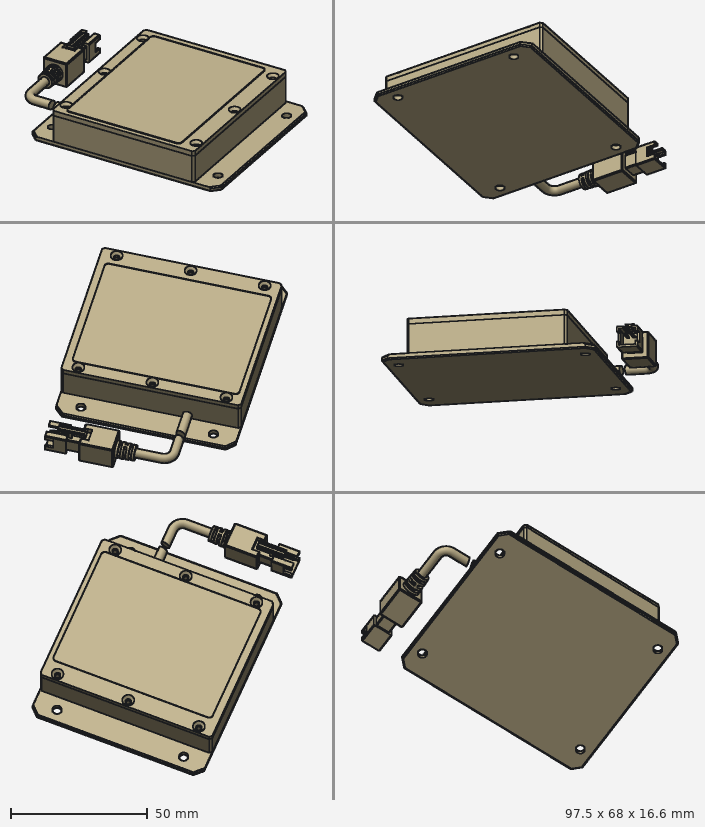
import cadquery as cq
import math

overall_length = 97.5

plate_length = 80.0
plate_width = 68.0
plate_thickness = 1.95
plate_corner = 3.0
edge_chamfer = 0.5
mount_hole_diameter = 3.4
mount_pitch_x = 70.0
mount_pitch_y = 50.1

housing_length = 60.1
housing_height = 11.0
housing_corner = 0.9

lid_thickness = 2.0
screw_pitch_x = 55.0
screw_rows_y = (-28.0, 0.0, 28.0)
screw_head_diameter = 4.4
screw_clearance_diameter = 2.1
countersink_angle = 90.0
tap_hole_diameter = 1.8
tap_hole_depth = 3.9
drill_tip_angle = 118.0

label_length = 48.3
label_width = 63.0
label_thickness = 0.34
label_corner = 1.5
label_offset_x = -1.2
label_offset_y = -0.5

cable_diameter = 3.5
cable_y = -13.9
bend_radius = 3.9
cable_cut_angle = 12.0
cable_end_x = -41.6

block_size = 10.0
block_chamfer = 0.4
block_length = 13.0
block_back_y = 7.0
pocket_width = 5.2
pocket_length = 3.1

boot_root_diameter = 6.6
boot_tip_diameter = 5.85
boot_length = 7.2
boot_segments = 7
boot_web = 1.2

neck_size = 5.85
neck_length = 5.2
neck_chamfer = 0.34

head_size = 7.9
head_length = 7.9
head_wall = 0.9
head_chamfer = 0.34
head_notch_length = 3.1
head_notch_top = 2.1
head_notch_bottom = -1.8
channel_width = 3.1

tongue_setback = 1.0
tongue_top = 1.6
tongue_thickness = 0.4
tongue_slope_length = 1.3
tongue_slope_drop = 0.2
tongue_slot = 1.6

rocker_length = 10.6
rocker_back_y = 18.3
rocker_top = 5.7
rocker_thickness = 1.1
rocker_foot_front_y = 24.8
rocker_foot_length = 1.3
rocker_hook_front_y = 27.5
rocker_hook_width = 1.95
rocker_slot_width = 0.4
rocker_slot_spacing = 1.5
rocker_bridge = 0.7

plate_top = plate_thickness
housing_top = plate_top + housing_height
lid_top = housing_top + lid_thickness
cut_reach = cable_diameter / 2 * math.tan(math.radians(cable_cut_angle))
cable_z = plate_top + cable_diameter / 2
lead_x = plate_length / 2 - overall_length + block_size / 2
block_front_y = block_back_y + block_length
head_back_y = block_front_y + neck_length
head_front_y = head_back_y + head_length
boot_end_y = block_back_y - boot_length
boot_segment_length = boot_length / boot_segments
screw_points = [(side * screw_pitch_x / 2, y) for side in (-1, 1) for y in screw_rows_y]


def lead_box(width, y_start, y_end, z_low, z_high):
    """Box centred across the lead, with heights measured from the lead axis."""
    return (
        cq.Workplane("XY")
        .box(width, y_end - y_start, z_high - z_low, centered=(True, False, False))
        .translate((lead_x, y_start, cable_z + z_low))
    )


def make_plate():
    plate = (
        cq.Workplane("XY")
        .rect(plate_length, plate_width)
        .extrude(plate_thickness)
        .edges("|Z")
        .chamfer(plate_corner)
        .faces("<Z")
        .edges()
        .chamfer(edge_chamfer)
    )
    plate = plate.faces(">Z").edges("not #Y").chamfer(edge_chamfer)
    holes = (
        cq.Workplane("XY")
        .rect(mount_pitch_x, mount_pitch_y, forConstruction=True)
        .vertices()
        .circle(mount_hole_diameter / 2)
        .extrude(plate_thickness)
    )
    return plate.cut(holes)


def housing_prism(z_low, height):
    return (
        cq.Workplane("XY", origin=(0, 0, z_low))
        .rect(housing_length, plate_width)
        .extrude(height)
        .edges("|Z")
        .chamfer(housing_corner)
    )


def make_housing():
    radius = tap_hole_diameter / 2
    tip_depth = radius / math.tan(math.radians(drill_tip_angle / 2))
    tap_hole = (
        cq.Workplane("XZ")
        .polyline([(0, 0), (radius, 0), (radius, -tap_hole_depth), (0, -tap_hole_depth - tip_depth)])
        .close()
        .revolve(360, (0, 0), (0, 1))
    )
    housing = housing_prism(plate_top, housing_height)
    for x, y in screw_points:
        housing = housing.cut(tap_hole.translate((x, y, housing_top)))
    return housing


def make_lid():
    return (
        housing_prism(housing_top, lid_thickness)
        .faces(">Z")
        .workplane(origin=(0, 0, lid_top))
        .pushPoints(screw_points)
        .cskHole(screw_clearance_diameter, screw_head_diameter, countersink_angle)
    )


def make_label():
    return (
        cq.Workplane("XY", origin=(label_offset_x, label_offset_y, lid_top))
        .rect(label_length, label_width)
        .extrude(label_thickness)
        .edges("|Z")
        .fillet(label_corner)
    )


def cable_rod(x_start, x_end):
    return (
        cq.Workplane("YZ", origin=(x_start, cable_y, cable_z))
        .circle(cable_diameter / 2)
        .extrude(x_end - x_start)
    )


def beyond_cut(x_cut):
    """Block that covers everything on the +X side of the slanted break."""
    return (
        cq.Workplane("XY")
        .box(plate_length, plate_width, plate_width, centered=(False, True, True))
        .rotate((0, 0, 0), (0, 0, 1), -cable_cut_angle)
        .translate((x_cut, cable_y, cable_z))
    )


def make_cable_stub():
    rod = cable_rod(-plate_length / 2, -housing_length / 2)
    return rod.intersect(beyond_cut(-plate_length / 2 + cut_reach))


def make_bent_cable():
    path = (
        cq.Workplane("XY", origin=(0, 0, cable_z))
        .moveTo(lead_x, boot_end_y)
        .lineTo(lead_x, cable_y + bend_radius)
        .radiusArc((lead_x + bend_radius, cable_y), -bend_radius)
        .lineTo(cable_end_x + cut_reach, cable_y)
    )
    cable = (
        cq.Workplane("XZ", origin=(lead_x, boot_end_y, cable_z))
        .circle(cable_diameter / 2)
        .sweep(path)
    )
    return cable.cut(beyond_cut(cable_end_x))


def make_boot():
    """Tapered strain relief whose slots leave the core and alternating pairs of webs."""
    root_radius = boot_root_diameter / 2
    tip_radius = boot_tip_diameter / 2
    boot = (
        cq.Workplane("XY")
        .polyline([(0, 0), (root_radius, 0), (tip_radius, -boot_length), (0, -boot_length)])
        .close()
        .revolve(360, (0, 0), (0, 1))
    )
    for index in range(1, boot_segments, 2):
        slot_y = -(index + 0.5) * boot_segment_length
        slot = cq.Workplane("XY").box(boot_root_diameter, boot_segment_length, boot_root_diameter)
        core = (
            cq.Workplane("XZ")
            .circle(cable_diameter / 2)
            .extrude(boot_segment_length / 2, both=True)
        )
        webs = cq.Workplane("XY").box(boot_root_diameter, boot_segment_length, boot_web)
        turn = 90 if index % 4 == 3 else 0
        webs = webs.rotate((0, 0, 0), (0, 1, 0), turn)
        boot = boot.cut(slot.cut(core).cut(webs).translate((0, slot_y, 0)))
    return boot.translate((lead_x, block_back_y, cable_z))


def make_block():
    half = block_size / 2
    block = lead_box(block_size, block_back_y, block_front_y, -half, half).edges().chamfer(block_chamfer)
    pocket = lead_box(pocket_width, block_front_y - pocket_length, block_front_y, neck_size / 2, half)
    return block.cut(pocket)


def make_neck():
    half = neck_size / 2
    neck = lead_box(neck_size, block_front_y, head_back_y, -half, half)
    return neck.edges("|Y").chamfer(neck_chamfer)


def make_head():
    half = head_size / 2
    inner = half - head_wall
    cavity_back_y = head_back_y + head_wall
    head = lead_box(head_size, head_back_y, head_front_y, -half, half).edges("|Y").chamfer(head_chamfer)
    cavity = lead_box(2 * inner, cavity_back_y, head_front_y, -inner, inner)
    notch = lead_box(
        head_size, head_front_y - head_notch_length, head_front_y, head_notch_bottom, head_notch_top
    )
    channel = lead_box(channel_width, head_back_y, head_front_y, neck_size / 2, half)
    return head.cut(cavity).cut(notch).cut(channel).union(make_tongue(cavity_back_y))


def make_tongue(back_y):
    """Thin forked tongue inside the head, with a sloped tip."""
    front_y = head_front_y - tongue_setback
    underside = tongue_top - tongue_thickness
    tongue = lead_box(channel_width, back_y, front_y, underside, tongue_top)
    tongue = tongue.faces(">Y").edges(">Z").chamfer(tongue_slope_drop, tongue_slope_length)
    return tongue.cut(lead_box(tongue_slot, back_y, front_y, underside, tongue_top))


def make_rocker():
    """Slotted latch lever with a hook, on a foot that stands on the neck."""
    front_y = rocker_back_y + rocker_length
    underside = rocker_top - rocker_thickness
    rocker = lead_box(channel_width, rocker_back_y, front_y, underside, rocker_top)
    slot = lead_box(rocker_slot_width, rocker_back_y + rocker_bridge, front_y, underside, rocker_top)
    for side in (-1, 1):
        rocker = rocker.cut(slot.translate((side * rocker_slot_spacing / 2, 0, 0)))
    foot_back_y = rocker_foot_front_y - rocker_foot_length
    foot = lead_box(channel_width, foot_back_y, rocker_foot_front_y, neck_size / 2, underside)
    hook = lead_box(rocker_hook_width, rocker_foot_front_y, rocker_hook_front_y, head_size / 2, underside)
    return rocker.union(foot).union(hook)


def make_lead():
    """Cable with the moulded connector on its end."""
    lead = make_block().union(make_neck()).union(make_head()).union(make_rocker())
    return lead.union(make_boot()).union(make_bent_cable())


plate = make_plate()
housing = make_housing()
lid = make_lid()
label = make_label()
cable_stub = make_cable_stub()
lead = make_lead()

result = cq.Compound.makeCompound(
    [plate.val(), housing.val(), lid.val(), label.val(), cable_stub.val(), lead.val()]
)